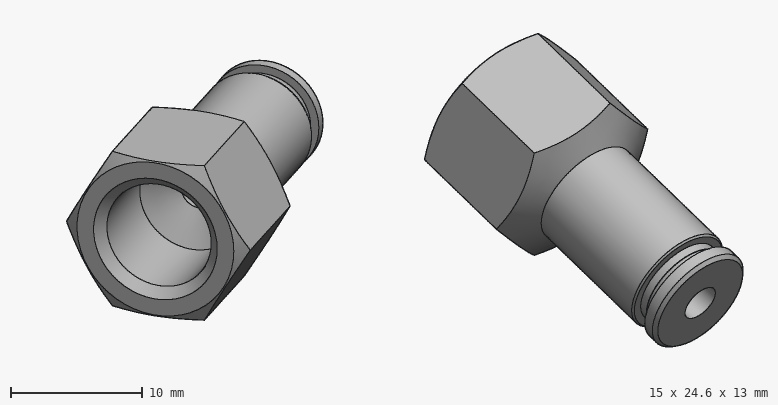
import cadquery as cq
import math

length = 24.6

across_flats = 13.0
hex_face_diameter = 12.8
hex_bevel_angle = 30.0

sleeve_diameter = 9.0
sleeve_start = 11.0
sleeve_end = 21.97
sleeve_chamfer = 0.15

collar_diameter = 7.45
neck_start = 22.65
neck_root_diameter = 7.08
neck_root_position = 22.98
neck_hollow_radius = 0.45
flange_start = 23.4
flange_chamfer = 0.3

bore_diameter = 8.5
bore_mouth_diameter = 10.09
bore_depth = 7.87
through_diameter = 3.0
drill_point_angle = 118.0

across_corners = across_flats / math.cos(math.radians(30))
bevel_slope = math.tan(math.radians(hex_bevel_angle))


def revolve_profile(profile):
    """Close a (radius, Y) profile and turn it about the Y axis."""
    return profile.close().revolve(360, (0, 0, 0), (0, 1, 0))


def hexagonal_body():
    """Hexagon with flats facing +Z and -Z, trimmed by a cone at each end."""
    corner_radius = across_corners / 2
    face_radius = hex_face_diameter / 2
    sleeve_radius = sleeve_diameter / 2
    front_corner = (corner_radius - face_radius) * bevel_slope
    rear_corner = sleeve_start - (corner_radius - sleeve_radius) * bevel_slope
    hexagon = cq.Workplane("XZ").polygon(6, across_corners).extrude(-sleeve_start)
    envelope = revolve_profile(
        cq.Workplane("XY")
        .moveTo(0, 0)
        .lineTo(face_radius, 0)
        .lineTo(corner_radius, front_corner)
        .lineTo(corner_radius, rear_corner)
        .lineTo(sleeve_radius, sleeve_start)
        .lineTo(0, sleeve_start)
    )
    return hexagon.intersect(envelope)


def sleeve_and_button():
    """Sleeve, collar, concave neck and end flange as one turned shape."""
    sleeve_radius = sleeve_diameter / 2
    collar_radius = collar_diameter / 2
    neck_root_radius = neck_root_diameter / 2

    def neck_radius(position):
        """Neck radius at a Y position, following the circular hollow."""
        offset = position - neck_root_position
        return neck_root_radius + neck_hollow_radius - math.sqrt(neck_hollow_radius**2 - offset**2)

    return revolve_profile(
        cq.Workplane("XY")
        .moveTo(0, sleeve_start)
        .lineTo(sleeve_radius, sleeve_start)
        .lineTo(sleeve_radius, sleeve_end - sleeve_chamfer)
        .lineTo(sleeve_radius - sleeve_chamfer, sleeve_end)
        .lineTo(collar_radius, sleeve_end)
        .lineTo(collar_radius, neck_start)
        .lineTo(neck_radius(neck_start), neck_start)
        .threePointArc(
            (neck_root_radius, neck_root_position),
            (neck_radius(flange_start), flange_start),
        )
        .lineTo(sleeve_radius, flange_start)
        .lineTo(sleeve_radius, length - flange_chamfer)
        .lineTo(sleeve_radius - flange_chamfer, length)
        .lineTo(0, length)
    )


def passage():
    """Chamfered bore with a conical floor, opening into the through hole."""
    bore_radius = bore_diameter / 2
    mouth_radius = bore_mouth_diameter / 2
    through_radius = through_diameter / 2
    mouth_depth = mouth_radius - bore_radius
    floor_depth = (bore_radius - through_radius) / math.tan(math.radians(drill_point_angle / 2))
    return revolve_profile(
        cq.Workplane("XY")
        .moveTo(0, 0)
        .lineTo(mouth_radius, 0)
        .lineTo(bore_radius, mouth_depth)
        .lineTo(bore_radius, bore_depth)
        .lineTo(through_radius, bore_depth + floor_depth)
        .lineTo(through_radius, length)
        .lineTo(0, length)
    )


result = hexagonal_body().union(sleeve_and_button()).cut(passage())